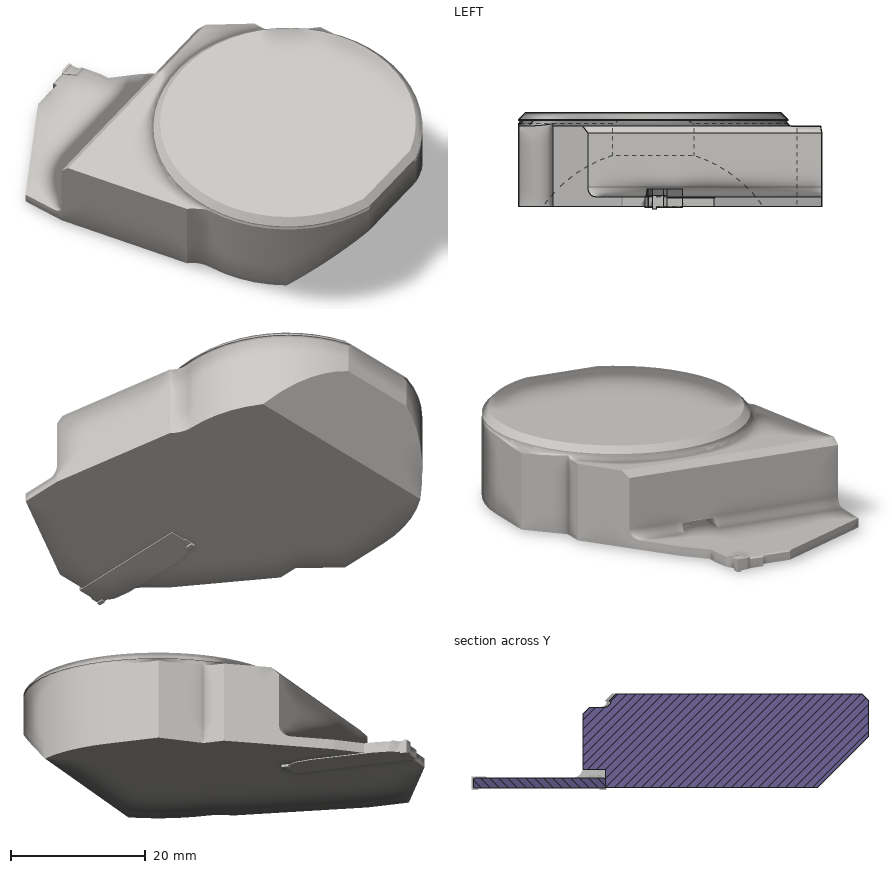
import cadquery as cq
import math


DISC_R = 20.0
DISC_TOP_Z = 14.0
DISC_CHAMFER = 1.0
RIM_HEIGHT = 0.2
NECK_R = 19.75
NECK_FILLET = 1.0
FLAT_X = 19.05
NOSE_CHAMFER = 7.6

BLOCK_TOP_Z = 12.0
BACK_Y = -25.1
WALL_X = -23.4
WALL_CHAMFER = 1.0
CORNER_DROP_Y = -21.35
CORNER_BLEND_X = -3.25
BLEND_R = 4.55
SHOULDER_X = -8.25
STEP_Y = 14.85
STEP_END_X = -16.65

BLADE_TOP_Z = 1.5
BLADE_FILLET = 1.5
BLADE_FRONT_X = -39.1
BLADE_CORNER_Y = -9.0
BLADE_BACK_X = -30.05
BLADE_KINK = (-30.1, 4.65)
FRONT_CHAMFER = 0.2

INSERT_LENGTH = 20.05
TIP_X = -39.95
INSERT_MID_X = TIP_X + INSERT_LENGTH / 2
INSERT_BOTTOM_Z = -0.1
INSERT_LOW_Y = -4.35
INSERT_HIGH_Y = 1.2
INSERT_FACE_X = -39.7
TIP_LOW_Y = -1.55
TIP_HIGH_Y = 0.1
TIP_ROOT_Y = -2.05
TIP_BACK_X = -38.45
NECK_END = (-37.4, 0.75)
TAPER_END_X = -34.8
PAD_TOP_Z = 1.65
PAD_BACK_X = -37.6
PAD_BACK_HIGH_Y = 0.7
PAD_BACK_LOW_Y = -1.05
PAD_ROOT_X = -39.35
PAD_SLOPE = 0.3
GROOVE_FRONT_X = -39.55
GROOVE_BACK_X = -38.1
GROOVE_DEPTH = 0.1
FACE_CHAMFER_RUN = 0.25
FOOT_BOTTOM_Z = -0.35
FOOT_BACK_X = -38.9
FOOT_LOW_Y = -0.55
SLOT_TOP_Z = 2.65


def extruded(outline, bottom_z, top_z):
    """Prism over a closed XY polygon between two heights."""
    return cq.Workplane("XY").workplane(offset=bottom_z).polyline(outline).close().extrude(top_z - bottom_z)


def holder_plan(height):
    """Prism over the full holder outline, from the underside up."""
    step_x = SHOULDER_X - (DISC_R - STEP_Y)
    return (
        cq.Workplane("XY")
        .moveTo(0, DISC_R)
        .lineTo(SHOULDER_X, DISC_R)
        .lineTo(step_x, STEP_Y)
        .lineTo(STEP_END_X, STEP_Y)
        .lineTo(*BLADE_KINK)
        .lineTo(BLADE_FRONT_X, INSERT_LOW_Y)
        .lineTo(BLADE_FRONT_X, BLADE_CORNER_Y)
        .lineTo(BLADE_BACK_X, BACK_Y)
        .lineTo(WALL_X, BACK_Y)
        .lineTo(CORNER_BLEND_X, CORNER_DROP_Y)
        .radiusArc((0, -DISC_R), BLEND_R)
        .threePointArc((DISC_R, 0), (0, DISC_R))
        .close()
        .extrude(height)
    )


def disc_profile():
    """Revolved disc: chamfered rim over a neck that flares into the block top."""
    rim_top_z = DISC_TOP_Z - DISC_CHAMFER
    rim_low_z = rim_top_z - RIM_HEIGHT
    flare_r = NECK_R + NECK_FILLET
    flare_center_z = BLOCK_TOP_Z + NECK_FILLET
    diagonal = NECK_FILLET * math.sqrt(0.5)
    start_r = flare_r - math.sqrt(NECK_FILLET**2 - (flare_center_z - rim_low_z) ** 2)
    return (
        cq.Workplane("XZ")
        .moveTo(0, 0)
        .lineTo(0, DISC_TOP_Z)
        .lineTo(DISC_R - DISC_CHAMFER, DISC_TOP_Z)
        .lineTo(DISC_R, rim_top_z)
        .lineTo(DISC_R, rim_low_z)
        .lineTo(start_r, rim_low_z)
        .threePointArc((flare_r - diagonal, flare_center_z - diagonal), (flare_r, BLOCK_TOP_Z))
        .lineTo(flare_r, 0)
        .close()
        .revolve(360, (0, 0, 0), (0, 1, 0))
    )


def holder_side():
    """Side profile of the whole holder in XZ, wide enough to span its depth."""
    fillet_turn = BLADE_FILLET * math.sqrt(0.5)
    fillet_x = WALL_X - BLADE_FILLET
    fillet_z = BLADE_TOP_Z + BLADE_FILLET
    return (
        cq.Workplane("XZ")
        .moveTo(BLADE_FRONT_X, 0)
        .lineTo(FLAT_X - NOSE_CHAMFER, 0)
        .lineTo(FLAT_X, NOSE_CHAMFER)
        .lineTo(FLAT_X, DISC_TOP_Z - DISC_CHAMFER)
        .lineTo(FLAT_X - DISC_CHAMFER, DISC_TOP_Z)
        .lineTo(WALL_X + WALL_CHAMFER, DISC_TOP_Z)
        .lineTo(WALL_X + WALL_CHAMFER, BLOCK_TOP_Z)
        .lineTo(WALL_X, BLOCK_TOP_Z - WALL_CHAMFER)
        .lineTo(WALL_X, fillet_z)
        .threePointArc((fillet_x + fillet_turn, fillet_z - fillet_turn), (fillet_x, BLADE_TOP_Z))
        .lineTo(BLADE_FRONT_X + FRONT_CHAMFER, BLADE_TOP_Z)
        .lineTo(BLADE_FRONT_X, BLADE_TOP_Z - FRONT_CHAMFER)
        .close()
        .extrude(-BACK_Y, both=True)
    )


def insert_outline():
    """Plan of the insert: one end, then the same end mirrored."""
    end = [
        (INSERT_FACE_X, INSERT_LOW_Y),
        (INSERT_FACE_X, TIP_ROOT_Y),
        (TIP_X, TIP_LOW_Y),
        (TIP_X, TIP_HIGH_Y),
        (TIP_BACK_X, TIP_HIGH_Y),
        NECK_END,
        (TAPER_END_X, INSERT_HIGH_Y),
    ]
    mirrored = [(2 * INSERT_MID_X - x, y) for x, y in reversed(end)]
    return end + mirrored


def make_holder():
    disc = disc_profile().intersect(holder_plan(DISC_TOP_Z))
    holder = holder_plan(BLOCK_TOP_Z).union(disc).intersect(holder_side())
    slot = extruded(insert_outline(), FOOT_BOTTOM_Z, SLOT_TOP_Z)
    return holder.cut(slot)


def make_tip():
    """Raised pad with a chip groove behind the cutting edge, over a small foot."""
    pad_outline = [
        (TIP_X, TIP_LOW_Y),
        (TIP_X, TIP_HIGH_Y),
        (TIP_BACK_X, TIP_HIGH_Y),
        (PAD_BACK_X, PAD_BACK_HIGH_Y),
        (PAD_BACK_X, PAD_BACK_LOW_Y),
        (PAD_ROOT_X, TIP_ROOT_Y),
        (INSERT_FACE_X, TIP_ROOT_Y),
    ]
    pad = extruded(pad_outline, INSERT_BOTTOM_Z, PAD_TOP_Z)
    pad_rise = PAD_TOP_Z - BLADE_TOP_Z
    pad = pad.faces(">X").edges(">Z").chamfer(pad_rise, PAD_SLOPE)
    groove_outline = [
        (GROOVE_FRONT_X, TIP_ROOT_Y + PAD_SLOPE),
        (GROOVE_FRONT_X, PAD_BACK_HIGH_Y),
        (GROOVE_BACK_X, PAD_BACK_HIGH_Y),
        (GROOVE_BACK_X, PAD_BACK_LOW_Y),
        (PAD_ROOT_X, TIP_ROOT_Y + PAD_SLOPE),
    ]
    pad = pad.cut(extruded(groove_outline, PAD_TOP_Z - GROOVE_DEPTH, PAD_TOP_Z))
    foot_outline = [
        (TIP_X, FOOT_LOW_Y),
        (TIP_X, TIP_HIGH_Y),
        (FOOT_BACK_X, TIP_HIGH_Y),
        (FOOT_BACK_X, FOOT_LOW_Y),
    ]
    return pad.union(extruded(foot_outline, FOOT_BOTTOM_Z, BLADE_TOP_Z))


def make_face_bevel():
    """Wedge that bevels the top edge of the end face beside the tip."""
    corner = [
        (INSERT_FACE_X, BLADE_TOP_Z),
        (INSERT_FACE_X + FACE_CHAMFER_RUN, BLADE_TOP_Z),
        (INSERT_FACE_X, BLADE_TOP_Z - FRONT_CHAMFER),
    ]
    wedge = cq.Workplane("XZ", origin=(0, TIP_ROOT_Y, 0)).polyline(corner).close()
    return wedge.extrude(TIP_ROOT_Y - INSERT_LOW_Y)


def make_insert():
    body = extruded(insert_outline(), INSERT_BOTTOM_Z, BLADE_TOP_Z)
    front_tip = make_tip()
    front_bevel = make_face_bevel()
    rear_bevel = front_bevel.mirror("YZ", (INSERT_MID_X, 0, 0))
    rear_tip = front_tip.mirror("YZ", (INSERT_MID_X, 0, 0))
    return body.cut(front_bevel).cut(rear_bevel).union(front_tip).union(rear_tip)


holder = make_holder()
insert = make_insert()
result = cq.Compound.makeCompound([holder.solids().val(), insert.solids().val()])